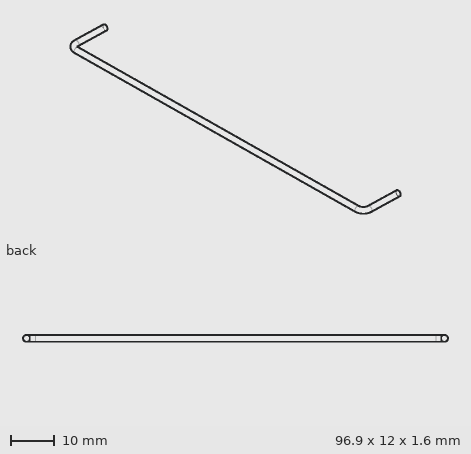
import cadquery as cq

wire_diameter = 1.6
overall_length = 96.85
overall_depth = 12.0
bend_radius = 2.0

wire_radius = wire_diameter / 2
leg_x = overall_length / 2 - wire_radius
leg_end_y = overall_depth - wire_radius
bar_end_x = leg_x - bend_radius


def centreline():
    """Path from the left leg tip, along the bar, to the right leg tip."""
    return (
        cq.Workplane("XY")
        .moveTo(-leg_x, leg_end_y)
        .lineTo(-leg_x, bend_radius)
        .radiusArc((-bar_end_x, 0), -bend_radius)
        .lineTo(bar_end_x, 0)
        .radiusArc((leg_x, bend_radius), -bend_radius)
        .lineTo(leg_x, leg_end_y)
    )


def wire_section():
    """Round wire section at the tip of the left leg, square to the leg."""
    return cq.Workplane("XZ", origin=(-leg_x, leg_end_y, 0)).circle(wire_radius)


result = wire_section().sweep(centreline())